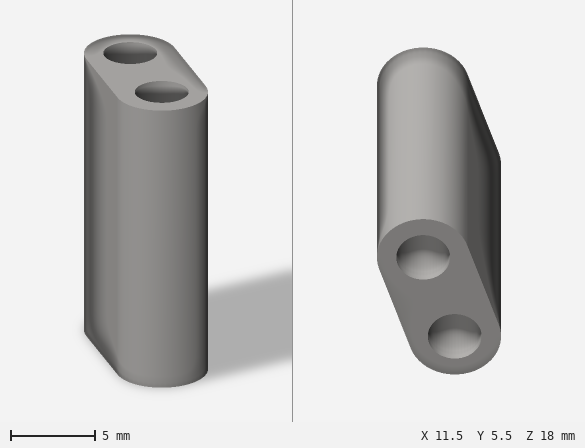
import cadquery as cq

height = 18.0
overall_width = 11.5
depth = 5.5
hole_diameter = 3.2

hole_spacing = overall_width - depth

body = cq.Workplane("XY").slot2D(overall_width, depth).extrude(height)

bores = (
    cq.Workplane("XY")
    .rarray(hole_spacing, 0.18, 2, 1)
    .circle(hole_diameter / 2)
    .extrude(height)
)

result = body.cut(bores)